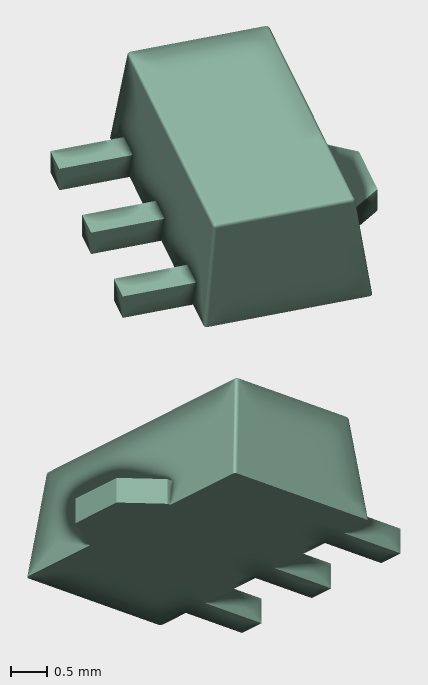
import cadquery as cq
import math

body_length = 4.5
body_width = 2.45
body_height = 1.6
draft_angle = 7.0
edge_radius = 0.05

lead_count = 3
lead_pitch = 1.5
lead_width = 0.42
metal_thickness = 0.38
lead_reach = 1.02

tab_reach = 0.62
tab_tip_width = 0.88
tab_root_width = 1.73
tab_straight = 0.055

embed_depth = 2 * metal_thickness * math.tan(math.radians(draft_angle))


def make_body():
    """Drafted block with rounded corners and top rim."""
    block = cq.Workplane("XY").rect(body_length, body_width).extrude(body_height, taper=draft_angle)
    return block.edges("not <Z").fillet(edge_radius)


def make_lead(x_center):
    """Straight rectangular lead, flush with the bottom of the body."""
    length = lead_reach + embed_depth
    lead = cq.Workplane("XY").box(lead_width, length, metal_thickness, centered=(True, False, False))
    return lead.translate((x_center, -body_width / 2 - lead_reach, 0))


def make_tab():
    """Flat tab that narrows towards its tip."""
    wall_y = body_width / 2
    root_x = tab_root_width / 2
    tip_x = tab_tip_width / 2
    outline = [
        (-root_x, wall_y - embed_depth),
        (root_x, wall_y - embed_depth),
        (root_x, wall_y + tab_straight),
        (tip_x, wall_y + tab_reach),
        (-tip_x, wall_y + tab_reach),
        (-root_x, wall_y + tab_straight),
    ]
    return cq.Workplane("XY").polyline(outline).close().extrude(metal_thickness)


result = make_body().union(make_tab())
for index in range(lead_count):
    result = result.union(make_lead((index - (lead_count - 1) / 2) * lead_pitch))